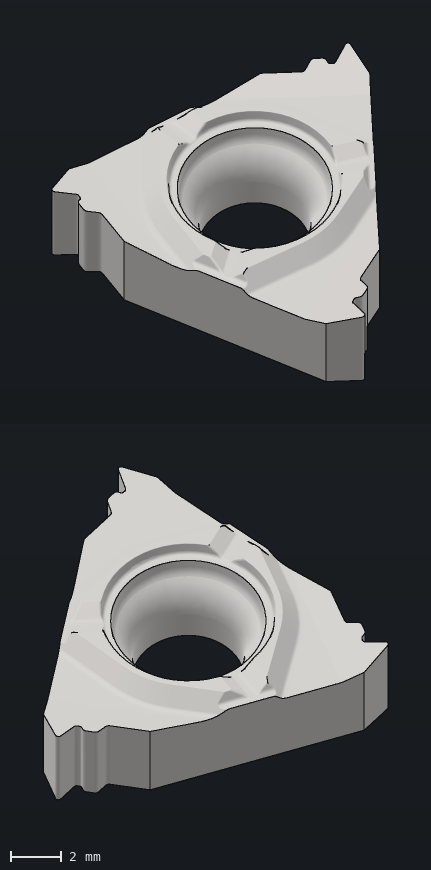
import cadquery as cq
import math


CORNERS = 3
CORNER_STEP = 360 / CORNERS
SIDE_DISTANCE = 4.77
HEIGHT = 4.2
FLOOR_Z = 3.38
REACH = 8.32
SELECTION_MARGIN = 0.01

FLANK_SLOPE = math.tan(math.radians(60))
FLANK_DISTANCE = 6.95
TIP_Y = -6.92
TIP_RADIUS = 0.12
ROOT_Y = -6.08
CREST_Y = -6.32
SHOULDER_Y = -5.78
SECOND_TOOTH_LEFT_X = -3.04
SECOND_TOOTH_RIGHT_X = -2.5
ROOT_RADIUS = 0.11
SECOND_TOOTH_RADIUS = 0.2

RAMP_START = 4.71
RAMP_ANGLE = 15.0
BLEND_RADIUS = 0.36

BOSS_TOP_DISTANCE = 3.71
BOSS_DRAFT = 41.0
ARC_START = -2.0
ARC_END = 30.0

LEDGE_Z = 3.7
LEDGE_WIDTH = 0.25
LEDGE_WALL_DRAFT = 25.0
LEDGE_RADIUS = 0.25

GROOVE_Z = 3.73
GROOVE_TOP_WIDTH = 1.51
GROOVE_FLOOR_WIDTH = 0.28
GROOVE_RADIUS = 0.3
GROOVE_ANGLE = (ARC_END + ARC_START + CORNER_STEP) / 2

EDGE_RADIUS = 0.11
STEEP_EDGE_RISE = 0.21
TOP_EDGE_RADIUS = 0.04

HOLE_RADIUS = 4.4 / 2
BOWL_START_Z = 1.32
BOWL_TOP_RADIUS = 2.85
BOWL_TOP_Z = 2.88
SEAT_WALL_RADIUS = 3.01
SEAT_WALL_Z = 3.26
SEAT_TOP_RADIUS = 3.05
RECESS_Z = 3.65
RECESS_TOP_RADIUS = 3.45
RECESS_DRAFT = 10.0
RECESS_FILLET = 0.22


def polar(radius, angle):
    return (radius * math.cos(math.radians(angle)), radius * math.sin(math.radians(angle)))


def turned(point, angle):
    radius = math.hypot(*point)
    return polar(radius, math.degrees(math.atan2(point[1], point[0])) + angle)


def at_each_corner(shape):
    copies = [shape.rotate((0, 0, 0), (0, 0, 1), i * CORNER_STEP) for i in range(CORNERS)]
    return copies[0].union(copies[1]).union(copies[2])


def fillet_at(solid, points, radius):
    """Round the vertical edges that pass through the given points at every corner."""
    for x, y in points:
        for i in range(CORNERS):
            px, py = turned((x, y), i * CORNER_STEP)
            edge = solid.edges("|Z").edges(cq.selectors.NearestToPointSelector((px, py, HEIGHT / 2)))
            solid = edge.fillet(radius)
    return solid


def make_outline_prism():
    apex_y = TIP_Y - TIP_RADIUS
    flank_start = (-SIDE_DISTANCE, -2 * FLANK_DISTANCE + SIDE_DISTANCE * FLANK_SLOPE)
    apex = (-SIDE_DISTANCE + (flank_start[1] - apex_y) / FLANK_SLOPE, apex_y)
    root_left = (apex[0] + (ROOT_Y - apex_y) / FLANK_SLOPE, ROOT_Y)
    root_right = (SECOND_TOOTH_LEFT_X - (ROOT_Y - CREST_Y) / FLANK_SLOPE, ROOT_Y)
    crest_left = (SECOND_TOOTH_LEFT_X, CREST_Y)
    crest_right = (SECOND_TOOTH_RIGHT_X, CREST_Y)
    shoulder = (SECOND_TOOTH_RIGHT_X + (SHOULDER_Y - CREST_Y) / FLANK_SLOPE, SHOULDER_Y)
    side_start = (2 * SIDE_DISTANCE + FLANK_SLOPE * SHOULDER_Y, SHOULDER_Y)

    corner = [flank_start, apex, root_left, root_right, crest_left, crest_right, shoulder, side_start]
    outline = [turned(p, i * CORNER_STEP) for i in range(CORNERS) for p in corner]
    prism = cq.Workplane("XY").polyline(outline).close().extrude(HEIGHT)
    prism = fillet_at(prism, [apex], TIP_RADIUS)
    prism = fillet_at(prism, [root_left, root_right], ROOT_RADIUS)
    return fillet_at(prism, [crest_left, crest_right, shoulder], SECOND_TOOTH_RADIUS)


def make_floor_with_boss():
    boss_height = HEIGHT - FLOOR_Z
    foot = BOSS_TOP_DISTANCE + boss_height * math.tan(math.radians(BOSS_DRAFT))
    corner_radius = foot / math.cos(math.radians(GROOVE_ANGLE - ARC_END))

    boss = cq.Workplane("XY").workplane(offset=FLOOR_Z).moveTo(*polar(foot, ARC_START))
    for i in range(CORNERS):
        turn = i * CORNER_STEP
        boss = boss.threePointArc(polar(foot, turn + (ARC_START + ARC_END) / 2), polar(foot, turn + ARC_END))
        boss = boss.lineTo(*polar(corner_radius, turn + GROOVE_ANGLE))
        if i < CORNERS - 1:
            boss = boss.lineTo(*polar(foot, turn + CORNER_STEP + ARC_START))
    boss = boss.close().extrude(boss_height, taper=BOSS_DRAFT)

    slab = cq.Workplane("XY").rect(2 * REACH, 2 * REACH).extrude(FLOOR_Z)
    foot_zone = cq.selectors.BoxSelector(
        (-corner_radius, -corner_radius, FLOOR_Z - SELECTION_MARGIN),
        (corner_radius, corner_radius, FLOOR_Z + SELECTION_MARGIN),
    )
    return slab.union(boss).edges(foot_zone).fillet(BLEND_RADIUS)


def make_ramp():
    """Chip face of the -Y corner, blended into the floor by an arc."""
    slope = math.tan(math.radians(RAMP_ANGLE))
    tangent = BLEND_RADIUS * math.tan(math.radians(RAMP_ANGLE / 2))
    blend_end = polar(tangent, RAMP_ANGLE)
    return (
        cq.Workplane("YZ")
        .moveTo(-RAMP_START + 2 * tangent, FLOOR_Z)
        .lineTo(-RAMP_START + tangent, FLOOR_Z)
        .tangentArcPoint((-RAMP_START - blend_end[0], FLOOR_Z + blend_end[1]), relative=False)
        .lineTo(-REACH, FLOOR_Z + (REACH - RAMP_START) * slope)
        .lineTo(-REACH, 0)
        .lineTo(-RAMP_START + 2 * tangent, 0)
        .close()
        .extrude(REACH, both=True)
    )


def make_ledge_cutter():
    """Material removed along the -X side."""
    wall_foot_x = -SIDE_DISTANCE + LEDGE_WIDTH
    depth = HEIGHT - LEDGE_Z
    profile = [
        (-REACH, LEDGE_Z),
        (wall_foot_x, LEDGE_Z),
        (wall_foot_x + depth * math.tan(math.radians(LEDGE_WALL_DRAFT)), HEIGHT),
        (-REACH, HEIGHT),
    ]
    cutter = cq.Workplane("XZ").polyline(profile).close().extrude(REACH, both=True)
    foot = cq.selectors.NearestToPointSelector((wall_foot_x, 0, LEDGE_Z))
    return cutter.edges("|Y").edges(foot).fillet(LEDGE_RADIUS)


def make_groove_cutter():
    profile = [
        (-GROOVE_TOP_WIDTH / 2, HEIGHT),
        (-GROOVE_FLOOR_WIDTH / 2, GROOVE_Z),
        (GROOVE_FLOOR_WIDTH / 2, GROOVE_Z),
        (GROOVE_TOP_WIDTH / 2, HEIGHT),
    ]
    cutter = cq.Workplane("YZ").polyline(profile).close().extrude(REACH)
    cutter = cutter.edges("|X").edges("<Z").fillet(GROOVE_RADIUS)
    return cutter.rotate((0, 0, 0), (0, 0, 1), GROOVE_ANGLE)


def make_hole_cutter():
    bowl_width = BOWL_TOP_RADIUS - HOLE_RADIUS
    bowl_height = BOWL_TOP_Z - BOWL_START_Z
    bowl_curve_radius = (bowl_width**2 + bowl_height**2) / (2 * bowl_width)
    bore = (
        cq.Workplane("XZ")
        .moveTo(0, HEIGHT)
        .lineTo(SEAT_TOP_RADIUS, HEIGHT)
        .lineTo(SEAT_TOP_RADIUS, RECESS_Z)
        .lineTo(SEAT_WALL_RADIUS, SEAT_WALL_Z)
        .tangentArcPoint((BOWL_TOP_RADIUS, BOWL_TOP_Z), relative=False)
        .radiusArc((HOLE_RADIUS, BOWL_START_Z), -bowl_curve_radius)
        .lineTo(HOLE_RADIUS, 0)
        .lineTo(0, 0)
        .close()
        .revolve(360, (0, 0), (0, 1))
    )
    recess = (
        cq.Workplane("XY")
        .workplane(offset=HEIGHT)
        .circle(RECESS_TOP_RADIUS)
        .extrude(RECESS_Z - HEIGHT, taper=RECESS_DRAFT)
        .edges("<Z")
        .fillet(RECESS_FILLET)
    )
    return bore.union(recess)


def is_steep_boss_edge(edge):
    """True for the edges that climb from the ledge or the recess most of the way up the boss."""
    box = edge.BoundingBox()
    return box.zmin > RECESS_Z and box.zlen > STEEP_EDGE_RISE


def round_boss_edges(solid):
    steep_edges = [edge for edge in solid.edges().vals() if is_steep_boss_edge(edge)]
    solid = solid.newObject(steep_edges).fillet(EDGE_RADIUS)
    return solid.faces(">Z").edges().fillet(TOP_EDGE_RADIUS)


insert_body = (
    make_floor_with_boss()
    .union(at_each_corner(make_ramp()))
    .intersect(make_outline_prism())
    .cut(at_each_corner(make_ledge_cutter()))
    .cut(at_each_corner(make_groove_cutter()))
    .cut(make_hole_cutter())
)
result = round_boss_edges(insert_body)